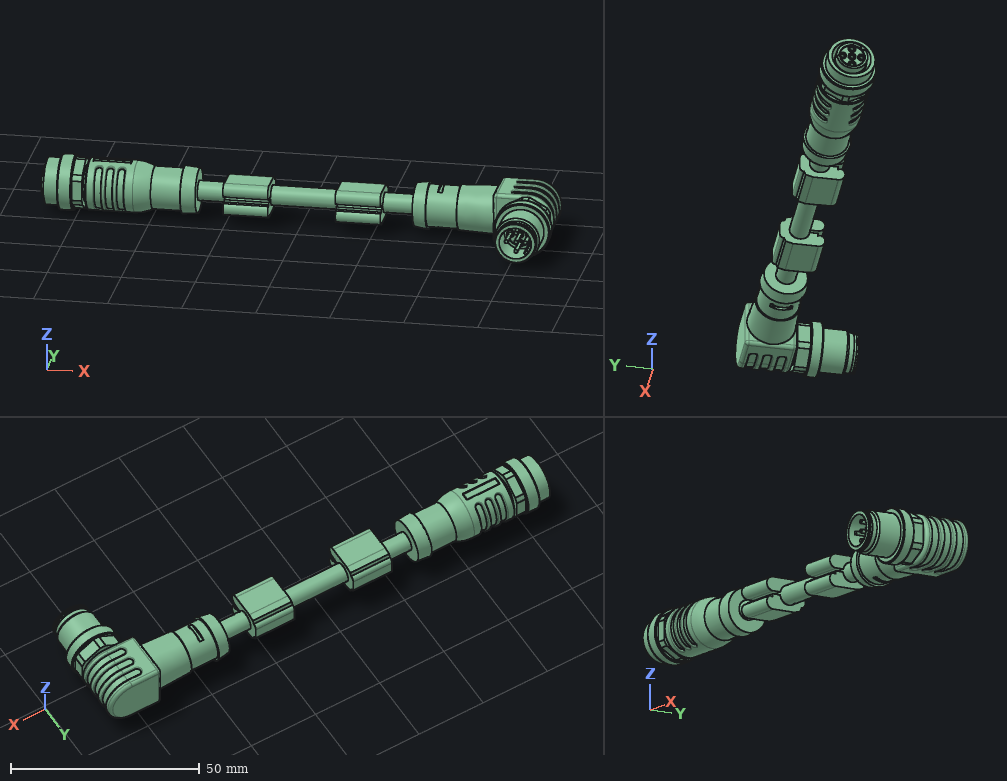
import cadquery as cq
import math


total_length = 139.3
ring_d = 15.0
plug_axis_x = total_length - ring_d / 2
plug_reach = 24.4
cable_d = 5.5
body_d = 14.0
neck_d = 9.8
grip_waist_d = 11.5

hex_flats = 13.0
hex_corner_d = 14.0
ring_chamfer = 0.3

pin_circle_d = 5.2
pin_d = 1.0
pin_hole_d = 1.15
pin_collar_d = 2.0
pin_collar_height = 0.5
pin_face_d = 6.7
pin_face_step = 0.3
key_width = 1.1
key_depth = 0.7

insert_d = 8.4
insert_tip = 1.0
nut_front_d = 12.8
nut_bore_d = 10.5
nut_throat_d = 8.6
nut_cone_depth = 1.4
pin_hole_depth = 5.6
socket_ring_start = 4.7
socket_ring_end = 8.6
socket_hex_end = 11.4
grip_start = 12.3
grip_chamfer = 0.3
grip_end = 25.1
grip_shoulder_end = 29.8
socket_collar_start = 37.9
socket_end = 41.9

collar_big_d = 13.0
collar_small_d = 12.3
elbow_collar_small_d = 11.8

groove_depth = 0.5
groove_edge_r = 0.3
surface_tolerance = 0.001
grip_groove_width = 1.8
elbow_groove_width = 2.2
grip_groove_pitch = 3.0
grip_groove_mid_x = 18.7
grip_groove_half_gap = 3.0
marker_start = 13.5
marker_end = 23.7
marker_width = 2.2
marker_depth = 0.4

elbow_start = 100.6
elbow_collar_end = 104.2
elbow_cone_start = 112.5
elbow_cone_start_d = 12.3
elbow_cone_end_d = 13.2
block_start = 122.6
block_fillet = 1.0
recess_x = 107.5
recess_width = 1.1
recess_length = 6.4
recess_depth = 0.8
elbow_groove_start = 127.2
elbow_groove_pitch = 3.9

plug_hex_start = 7.7
plug_ring_start = 11.1
plug_ring_end = 14.5
plug_sleeve_end = 21.2
plug_tip_start = 21.7
plug_sleeve_d = 12.0
plug_tip_d = 10.9
tip_groove_d = 10.5
tip_groove_start = 23.1
tip_groove_end = 23.8
plug_bore_d = 8.6
plug_bore_depth = 7.7
pin_setback = 1.1

clip_starts = (49.6, 80.0)
clip_length = 12.1
clip_half_height = 4.5
clip_lobe_r = 2.0
clip_front_y = -7.0
clip_back_y = 5.3
clip_flat_back_y = 1.8
clip_shoulder_y = 3.8
clip_shoulder_z = 3.9
clip_rail_y = 4.2
clip_rail_z = 2.9
clip_throat_floor = -0.3
clip_slot_bottom = -1.0


def turned(*steps):
    """Solid of revolution about X from (position, diameter) steps."""
    outline = [(steps[0][0], 0)]
    outline += [(x, d / 2) for x, d in steps]
    outline.append((steps[-1][0], 0))
    return cq.Workplane("XY").polyline(outline).close().revolve(360, (0, 0), (1, 0))


def rod(start, end, diameter):
    return turned((start, diameter), (end, diameter))


def hex_nut(start, end):
    """Hexagon with flats facing Y and its corners turned down to a cylinder."""
    hexagon = (
        cq.Workplane("YZ", origin=(start, 0, 0))
        .polygon(6, hex_flats / math.cos(math.pi / 6))
        .extrude(end - start)
        .rotate((0, 0, 0), (1, 0, 0), 30)
    )
    return hexagon.intersect(rod(start, end, hex_corner_d))


def nut_ring(start, end):
    return rod(start, end, ring_d).edges().chamfer(ring_chamfer)


def pin_pattern(start, end, diameter):
    """Centre pin and four pins around it."""
    pattern = rod(start, end, diameter)
    radius = pin_circle_d / 2
    for y, z in ((radius, 0), (-radius, 0), (0, radius), (0, -radius)):
        pattern = pattern.union(rod(start, end, diameter).translate((0, y, z)))
    return pattern


def key(start, end, outer_d, angle):
    """Bar that reaches inward from a diameter, turned about X from +Y."""
    middle = ((start + end) / 2, outer_d / 2, 0)
    return (
        cq.Workplane("XY")
        .box(end - start, 2 * key_depth, key_width)
        .translate(middle)
        .rotate((0, 0, 0), (1, 0, 0), angle)
    )


def round_ended_bar(start, end, centre_across, width, along):
    """Prism along Z with half-round ends, long in X or in Y."""
    length = end - start
    middle = (start + end) / 2
    if along == "X":
        sketch = cq.Workplane("XY").center(middle, centre_across).slot2D(length, width, 0)
    else:
        sketch = cq.Workplane("XY").center(centre_across, middle).slot2D(length, width, 90)
    return sketch.extrude(body_d, both=True)


def grip_shoulder():
    """Convex shoulder that leaves the grip tangentially and falls to the waist."""
    grip_r = body_d / 2
    waist_r = grip_waist_d / 2
    length = grip_shoulder_end - grip_end
    drop = grip_r - waist_r
    arc_r = (length**2 + drop**2) / (2 * drop)
    middle_x = length / 2
    middle_r = grip_r - arc_r + math.sqrt(arc_r**2 - middle_x**2)
    return (
        cq.Workplane("XY")
        .moveTo(grip_end, 0)
        .lineTo(grip_end, grip_r)
        .threePointArc((grip_end + middle_x, middle_r), (grip_shoulder_end, waist_r))
        .lineTo(grip_shoulder_end, 0)
        .close()
        .revolve(360, (0, 0), (1, 0, 0))
    )


def groove_mouth_edges(solid, radius_at, start, end, y_limit):
    """Edges inside the start, end and Y limits where grooves open onto the outer surface."""
    mouth = []
    for edge in solid.edges().vals():
        point = edge.positionAt(0.5)
        inside = start < point.x < end and abs(point.y) < y_limit
        on_surface = abs(radius_at(point) - body_d / 2) < surface_tolerance
        along_y = abs(edge.tangentAt(0.5).y) > 1.4 - surface_tolerance
        tangent_line = edge.geomType() == "LINE" and along_y
        if inside and on_surface and not tangent_line:
            mouth.append(edge)
    return mouth


def grip_radius(point):
    return math.hypot(point.y, point.z)


def elbow_radius(point):
    """Distance from the block's middle plane, or from the plug axis past it."""
    return math.hypot(point.z, max(0, point.x - plug_axis_x))


def straight_connector():
    nut_bore_end = insert_tip + nut_cone_depth
    nut = rod(insert_tip, socket_ring_start, nut_front_d)
    nut = nut.cut(turned((insert_tip, nut_bore_d), (nut_bore_end, nut_throat_d)))
    insert = rod(0, socket_ring_start, insert_d)
    insert = insert.cut(rod(0, pin_face_step, pin_face_d))
    insert = insert.cut(pin_pattern(0, pin_collar_height, pin_collar_d))
    insert = insert.cut(pin_pattern(0, pin_hole_depth, pin_hole_d))
    insert = insert.cut(key(0, nut_bore_end, insert_d, 135))

    grip = turned(
        (grip_start, body_d - 2 * grip_chamfer),
        (grip_start + grip_chamfer, body_d),
        (grip_end, body_d),
    ).union(grip_shoulder())
    grip = grip.union(
        turned(
            (grip_shoulder_end, grip_waist_d),
            (socket_collar_start, grip_waist_d),
            (socket_collar_start, collar_big_d),
            (socket_end, collar_small_d),
        )
    )
    skin = rod(grip_start, grip_end, body_d).cut(
        rod(grip_start, grip_end, body_d - 2 * groove_depth)
    )
    for step in (-1, 0, 1):
        groove_x = grip_groove_mid_x + step * grip_groove_pitch
        for side in (-1, 1):
            near = side * grip_groove_half_gap
            far = side * body_d
            bar = round_ended_bar(min(near, far), max(near, far), groove_x, grip_groove_width, "Y")
            grip = grip.cut(skin.intersect(bar))
    margin = 2 * grip_chamfer
    mouths = groove_mouth_edges(grip, grip_radius, grip_start + margin, grip_end - margin, body_d)
    grip = grip.newObject(mouths).fillet(groove_edge_r)

    marker = (
        cq.Workplane("XY", origin=(0, 0, body_d / 2 - marker_depth))
        .center((marker_start + marker_end) / 2, 0)
        .rect(marker_end - marker_start, marker_width)
        .extrude(body_d)
    )
    grip = grip.cut(marker)

    return (
        nut.union(insert)
        .union(nut_ring(socket_ring_start, socket_ring_end))
        .union(hex_nut(socket_ring_end, socket_hex_end))
        .union(rod(socket_hex_end, grip_start, neck_d))
        .union(grip)
    )


def elbow_block(inset):
    """Square block with a half-round end about the plug axis, shrunk by an inset in X and Z."""
    half = body_d / 2 - inset
    return (
        cq.Workplane("XZ", origin=(0, body_d / 2, 0))
        .moveTo(plug_axis_x, half)
        .threePointArc((plug_axis_x + half, 0), (plug_axis_x, -half))
        .lineTo(block_start, -half)
        .lineTo(block_start, half)
        .close()
        .extrude(body_d)
    )


def elbow_body():
    entry = turned(
        (elbow_start, elbow_collar_small_d),
        (elbow_collar_end, collar_big_d),
        (elbow_collar_end, grip_waist_d),
        (elbow_cone_start, grip_waist_d),
        (elbow_cone_start, elbow_cone_start_d),
        (block_start + block_fillet, elbow_cone_end_d),
    )
    for side in (-1, 1):
        recess = cq.Workplane("XY").box(recess_width, recess_length, 2 * recess_depth)
        entry = entry.cut(recess.translate((recess_x, 0, side * grip_waist_d / 2)))

    block = elbow_block(0).faces("<X or <Y or >Y").edges().fillet(block_fillet)
    skin = elbow_block(0).cut(elbow_block(groove_depth))
    for step in (-1, 0, 1):
        groove_y = step * elbow_groove_pitch
        groove_end = total_length + elbow_groove_width
        bar = round_ended_bar(elbow_groove_start, groove_end, groove_y, elbow_groove_width, "X")
        block = block.cut(skin.intersect(bar))
    flat_half_width = body_d / 2 - block_fillet - surface_tolerance
    groove_limit = elbow_groove_start - surface_tolerance
    mouths = groove_mouth_edges(block, elbow_radius, groove_limit, total_length, flat_half_width)
    block = block.newObject(mouths).fillet(groove_edge_r)
    return entry.union(block)


def plug_end():
    """Coupling nut and pin sleeve, built along +X and then turned to point along -Y."""
    sleeve = turned(
        (plug_ring_end, plug_sleeve_d),
        (plug_sleeve_end, plug_sleeve_d),
        (plug_tip_start, plug_tip_d),
        (tip_groove_start, plug_tip_d),
        (tip_groove_start, tip_groove_d),
        (tip_groove_end, tip_groove_d),
        (tip_groove_end, plug_tip_d),
        (plug_reach, plug_tip_d),
    )
    bore_floor = plug_reach - plug_bore_depth
    pin_end = plug_reach - pin_setback
    plug = (
        sleeve.cut(rod(bore_floor, plug_reach, plug_bore_d))
        .union(rod(bore_floor, bore_floor + pin_face_step, pin_face_d))
        .union(pin_pattern(bore_floor, bore_floor + pin_collar_height, pin_collar_d))
        .union(pin_pattern(bore_floor, pin_end, pin_d))
        .union(key(bore_floor, pin_end, plug_bore_d, -45))
        .union(nut_ring(plug_ring_start, plug_ring_end))
        .union(hex_nut(plug_hex_start, plug_ring_start))
        .union(rod(body_d / 2, plug_hex_start, neck_d))
    )
    return plug.rotate((0, 0, 0), (0, 0, 1), -90).translate((plug_axis_x, 0, 0))


def label_clip(start):
    """Snap-on clip: lobes along the -Y side, a slot open to the cable, a rail along +Y."""
    top = clip_half_height
    lobe_y = clip_front_y + clip_lobe_r
    lobe_z = top - clip_lobe_r
    slot_top = lobe_z - clip_lobe_r
    lip_y = lobe_y - math.sqrt(clip_lobe_r**2 - (lobe_z + clip_slot_bottom) ** 2)
    rail_r = clip_back_y - clip_rail_y
    rail_corner_z = clip_rail_z - rail_r
    rail_arc_y = clip_rail_y + rail_r * math.sqrt(0.5)
    rail_arc_z = rail_corner_z + rail_r * math.sqrt(0.5)
    profile = (
        cq.Workplane("YZ", origin=(start, 0, 0))
        .moveTo(clip_flat_back_y, top)
        .lineTo(lobe_y, top)
        .threePointArc((clip_front_y, lobe_z), (lobe_y, slot_top))
        .lineTo(0, slot_top)
        .lineTo(0, clip_throat_floor)
        .lineTo(lobe_y, clip_throat_floor)
        .lineTo(lobe_y, clip_slot_bottom)
        .lineTo(lip_y, clip_slot_bottom)
        .threePointArc((clip_front_y, -lobe_z), (lobe_y, -top))
        .lineTo(clip_flat_back_y, -top)
        .lineTo(clip_shoulder_y, -clip_shoulder_z)
        .lineTo(clip_rail_y, -clip_rail_z)
        .threePointArc((rail_arc_y, -rail_arc_z), (clip_back_y, -rail_corner_z))
        .lineTo(clip_back_y, rail_corner_z)
        .threePointArc((rail_arc_y, rail_arc_z), (clip_rail_y, clip_rail_z))
        .lineTo(clip_shoulder_y, clip_shoulder_z)
        .close()
    )
    return profile.extrude(clip_length)


result = straight_connector().union(rod(socket_end, elbow_start, cable_d))
for clip_start in clip_starts:
    result = result.union(label_clip(clip_start))
result = result.union(elbow_body()).union(plug_end())